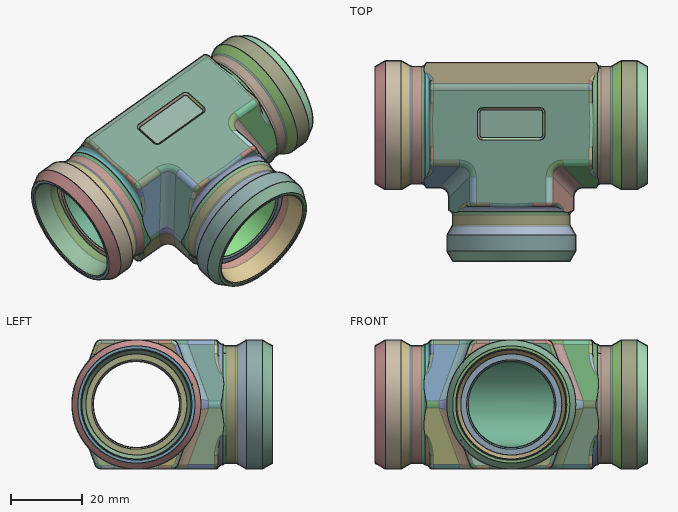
import cadquery as cq
import math

reach = 38.0
collar_radius = 18.0
neck_radius = 16.4
flank_angle = 30.0
collar_start = 2.9
collar_end = 7.3
neck_end = 13.0
neck_fillet = 1.0

bore_radius = 24.0 / 2
socket_radius = 28.2 / 2
mouth_radius = 15.2
mouth_bevel = 0.3
cone_half_angle = 12.0
socket_depth = 7.6
bore_bevel = 0.45

half_height = collar_radius
ridge_reach = 17.5
draft_angle = 20.0
inner_corner_fillet = 3.05
ridge_fillet = 3.0
top_edge_fillet = 2.0
end_edge_fillet = 1.0
shoulder_setback = 15.3

boss_radius = 16.9
boss_fillet = 1.2
boss_setback = 13.9
clearance = 0.75
ridge_bevel = 0.6
ridge_half_height = 5.7

recess_length = 18.8
recess_width = 9.0
recess_corner = 1.4
recess_depth = 0.6
recess_taper = 45.0
recess_y = 0.4

flank_slope = math.tan(math.radians(flank_angle))
draft = math.radians(draft_angle)
peak = ridge_reach + ridge_fillet * (1 / math.cos(draft) - 1)
shoulder = reach - shoulder_setback
boss_end = reach - boss_setback
groove_x = reach - collar_end - (collar_radius - neck_radius) / flank_slope
core_start = shoulder - 2 * end_edge_fillet
neck_middle = (reach - neck_end + groove_x) / 2
corner_reach = peak + half_height
margin = 0.4
PORT_ANGLES = (0, 180, 270)


def at_ports(shape):
    """Copies of a shape modelled on the +X port, one for each port."""
    return [shape.rotate((0, 0, 0), (0, 0, 1), angle) for angle in PORT_ANGLES]


def spin(profile):
    """Revolve a closed profile a full turn about X."""
    return profile.revolve(360, (0, 0, 0), (1, 0, 0))


def turned(points):
    """Solid of revolution about X from (x, radius) points."""
    return spin(cq.Workplane("XY").polyline(points).close())


def arm(start, end):
    """Six-sided prism along X with its ridges at y = +/-peak."""
    top_half = peak - half_height * math.tan(draft)
    section = [
        (peak, 0),
        (top_half, half_height),
        (-top_half, half_height),
        (-peak, 0),
        (-top_half, -half_height),
        (top_half, -half_height),
    ]
    return cq.Workplane("YZ").workplane(offset=start).polyline(section).close().extrude(end - start)


def tee(end):
    """Forged T-shaped body whose three arms stop at a distance from the origin."""
    branch = arm(0, end).rotate((0, 0, 0), (0, 0, 1), PORT_ANGLES[-1])
    body = arm(-end, end).union(branch)
    inner_corners = cq.selectors.BoxSelector((-peak, -peak, -half_height), (peak, 0, half_height))
    body = body.edges(inner_corners).edges("not(|X or |Y)").fillet(inner_corner_fillet)
    ridges = cq.selectors.BoxSelector((-end, -end, -margin), (end, end, margin))
    body = body.edges(ridges).fillet(ridge_fillet)
    return body.faces(">Z or <Z").edges("not(<X or >X or <Y)").fillet(top_edge_fillet)


def trimmed_body():
    """Forged body with its corners turned back to a boss at each port, and the new rims rounded."""
    hollow_radius = boss_radius + boss_fillet
    corner_profile = (
        cq.Workplane("XY")
        .moveTo(boss_end + clearance, boss_radius)
        .lineTo(shoulder + boss_fillet, boss_radius)
        .tangentArcPoint((shoulder, hollow_radius), relative=False)
        .lineTo(shoulder, corner_reach)
        .lineTo(boss_end + clearance, corner_reach)
        .close()
    )
    ridge_band = cq.Workplane("XY").box(2 * reach, 2 * reach, 2 * ridge_half_height)
    body = tee(boss_end)
    for cutter in at_ports(spin(corner_profile).cut(ridge_band)):
        body = body.cut(cutter)

    body = body.faces(">Z or <Z").edges("<X or >X or <Y").fillet(end_edge_fillet)

    ridge_cutter = turned([
        (boss_end - ridge_bevel, peak),
        (boss_end, boss_radius),
        (boss_end, peak),
    ])
    for cutter in at_ports(ridge_cutter):
        body = body.cut(cutter)
    return body


def flares():
    """Curved transitions from each neck up to the body, kept inside the forged section."""
    profile = (
        cq.Workplane("XY")
        .moveTo(neck_middle, 0)
        .lineTo(neck_middle, neck_radius)
        .lineTo(reach - neck_end, neck_radius)
        .tangentArcPoint((boss_end, boss_radius), relative=False)
        .lineTo(core_start, boss_radius)
        .lineTo(core_start, 0)
        .close()
    )
    envelope = tee(reach)
    return [piece.intersect(envelope) for piece in at_ports(spin(profile))]


def port():
    """Neck and threaded collar of the +X port, solid inside."""
    face_radius = collar_radius - collar_start * flank_slope
    outline = [
        (core_start, 0),
        (core_start, neck_radius),
        (groove_x, neck_radius),
        (reach - collar_end, collar_radius),
        (reach - collar_start, collar_radius),
        (reach, face_radius),
        (reach, 0),
    ]
    groove = cq.selectors.BoxSelector(
        (groove_x - margin, -margin, -margin),
        (groove_x + margin, margin, margin),
    )
    return turned(outline).edges(groove).fillet(neck_fillet)


def port_cavity():
    """Tube socket and bore of the +X port, from the port face to the origin."""
    cone_length = (mouth_radius - socket_radius) / math.tan(math.radians(cone_half_angle))
    outline = [
        (0, 0),
        (0, bore_radius),
        (reach - socket_depth - bore_bevel, bore_radius),
        (reach - socket_depth, bore_radius + bore_bevel),
        (reach - socket_depth, socket_radius),
        (reach - cone_length, socket_radius),
        (reach - mouth_bevel, mouth_radius),
        (reach, mouth_radius + mouth_bevel),
        (reach, 0),
    ]
    return turned(outline)


def marking_recess():
    """Shallow tray in the top face with sloped walls."""
    return (
        cq.Workplane("XY", origin=(0, recess_y, half_height))
        .sketch()
        .rect(recess_length, recess_width)
        .vertices()
        .fillet(recess_corner)
        .finalize()
        .extrude(-recess_depth, taper=recess_taper)
    )


result = trimmed_body()
for flare in flares():
    result = result.union(flare)
for neck_and_collar in at_ports(port()):
    result = result.union(neck_and_collar)
for cavity in at_ports(port_cavity()):
    result = result.cut(cavity)
result = result.cut(marking_recess())